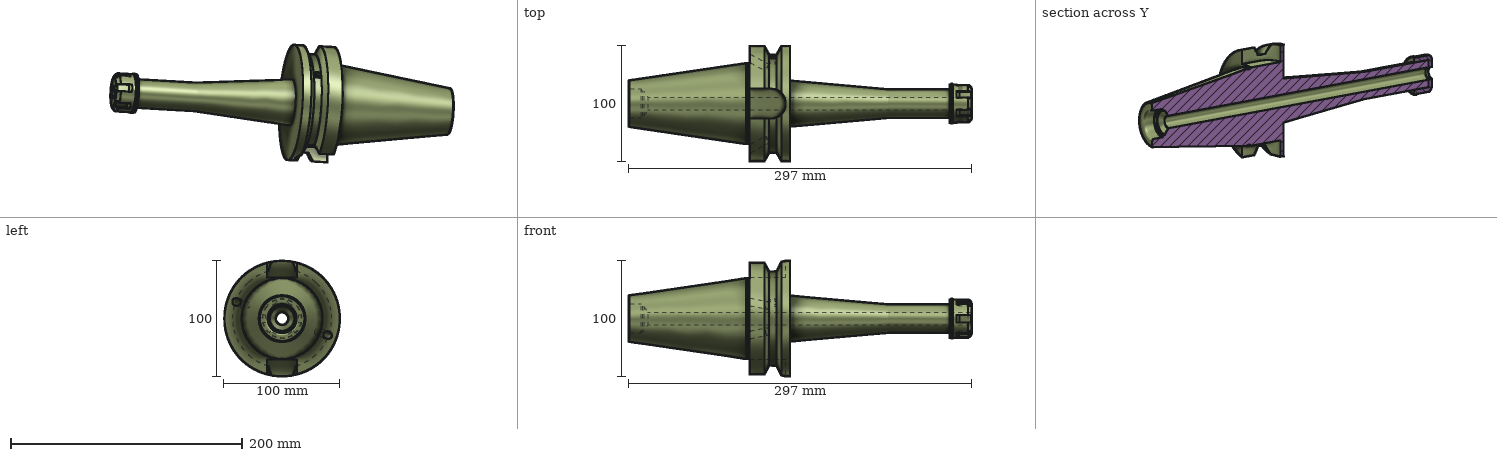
import cadquery as cq
import math

total_length = 297.0
taper_length = 101.5
flange_start = 104.8
flange_length = 35.0
flange_end = flange_start + flange_length
collar_length = 1.5
collar_end = flange_end + collar_length
cone_end = 224.8
nut_start = 277.7

taper_ratio = 7 / 24
taper_large_radius = 35.0
taper_small_radius = taper_large_radius - taper_length * taper_ratio / 2
taper_edge_chamfer = 1.0
relief_radius = 34.2
relief_length = 2.0
neck_radius = 35.0

flange_diameter = 100.0
flange_radius = flange_diameter / 2
groove_floor_radius = 42.8
groove_floor_width = 6.5
groove_center = 125.0
groove_flank_angle = 30.0
keyway_width = 25.8
keyway_floor = 35.3
keyway_end = 136.0
coolant_hole_radius = 3.3
coolant_hole_reach = 42.0
coolant_hole_angle = 20.0
coolant_hole_tilt = 30.0
coolant_hole_depth = 17.8
index_hole_radius = 3.0
index_hole_depth = 5.3

collar_radius = 20.0
stem_radius = 12.5

mouth_fillet = 2.5
counterbore_radius = 12.5
counterbore_depth = 11.0
thread_radius = 10.7
thread_start = 12.2
thread_end = 13.5
through_radius = 5.3
drill_half_angle = 55.0

nut_radius = 16.5
nut_ring_radius = 17.2
nut_ring_start = 279.0
nut_ring_width = 1.8
nut_front_radius = 12.8
nut_nose_start = 293.7
nut_nose_bulge = 0.5
nut_slot_count = 6
nut_slot_width = 6.5
nut_slot_start = 283.5
nut_slot_ramp = 2.7
nut_slot_floor = 14.3


def revolve_about_x(profile):
    """Revolve a closed outline drawn in (x, radius) about the X axis."""
    return profile.close().revolve(360, (0, 0, 0), (1, 0, 0))


def holder_blank():
    flank_rise = flange_radius - groove_floor_radius
    flank_run = flank_rise * math.tan(math.radians(groove_flank_angle))
    floor_start = groove_center - groove_floor_width / 2
    floor_end = groove_center + groove_floor_width / 2
    profile = (
        cq.Workplane("XY")
        .lineTo(0, taper_small_radius - taper_edge_chamfer)
        .lineTo(taper_edge_chamfer, taper_small_radius)
        .lineTo(taper_length, taper_large_radius)
        .lineTo(taper_length, relief_radius)
        .lineTo(taper_length + relief_length, relief_radius)
        .lineTo(taper_length + relief_length, neck_radius)
        .lineTo(flange_start, neck_radius)
        .lineTo(flange_start, flange_radius)
        .lineTo(floor_start - flank_run, flange_radius)
        .lineTo(floor_start, groove_floor_radius)
        .lineTo(floor_end, groove_floor_radius)
        .lineTo(floor_end + flank_run, flange_radius)
        .lineTo(flange_end, flange_radius)
        .lineTo(flange_end, collar_radius)
        .lineTo(collar_end, collar_radius)
        .lineTo(cone_end, stem_radius)
        .lineTo(nut_nose_start, stem_radius)
        .lineTo(nut_nose_start, 0)
    )
    return revolve_about_x(profile)


def holder_bore():
    cone_run = (thread_radius - through_radius) / math.tan(math.radians(drill_half_angle))
    fillet_sag = mouth_fillet * math.sqrt(0.5)
    profile = (
        cq.Workplane("XY")
        .lineTo(0, counterbore_radius + mouth_fillet)
        .threePointArc(
            (mouth_fillet - fillet_sag, counterbore_radius + mouth_fillet - fillet_sag),
            (mouth_fillet, counterbore_radius),
        )
        .lineTo(counterbore_depth, counterbore_radius)
        .lineTo(thread_start, thread_radius)
        .lineTo(thread_end, thread_radius)
        .lineTo(thread_end + cone_run, through_radius)
        .lineTo(total_length, through_radius)
        .lineTo(total_length, 0)
    )
    return revolve_about_x(profile)


def keyway(side):
    """Round-ended drive slot on the +Z (side = 1) or -Z (side = -1) rim."""
    half_width = keyway_width / 2
    arc_start = keyway_end - half_width
    return (
        cq.Workplane("XY", origin=(0, 0, side * keyway_floor))
        .moveTo(taper_length, -half_width)
        .lineTo(arc_start, -half_width)
        .threePointArc((keyway_end, 0), (arc_start, half_width))
        .lineTo(taper_length, half_width)
        .close()
        .extrude(side * flange_radius)
    )


def coolant_hole(turn):
    """Hole from the flange back face, leaning towards the axis."""
    tilt = math.radians(coolant_hole_tilt)
    direction = cq.Vector(math.cos(tilt), -math.sin(tilt), 0)
    entry = cq.Vector(flange_start, coolant_hole_reach, 0)
    overshoot = direction * coolant_hole_radius
    hole = cq.Solid.makeCylinder(
        coolant_hole_radius, coolant_hole_depth + coolant_hole_radius, entry - overshoot, direction
    )
    return hole.rotate(cq.Vector(0, 0, 0), cq.Vector(1, 0, 0), turn)


def index_hole():
    """Radial blind hole in the groove floor, in line with the +Y coolant hole."""
    bottom = groove_floor_radius - index_hole_depth
    hole = cq.Solid.makeCylinder(
        index_hole_radius,
        flange_radius - bottom,
        cq.Vector(groove_center, bottom, 0),
        cq.Vector(0, 1, 0),
    )
    return hole.rotate(cq.Vector(0, 0, 0), cq.Vector(1, 0, 0), coolant_hole_angle)


def make_holder():
    body = holder_blank().cut(holder_bore())
    for side in (1, -1):
        body = body.cut(keyway(side))
    for turn in (coolant_hole_angle, coolant_hole_angle + 180):
        body = body.cut(coolant_hole(turn))
    return body.cut(index_hole())


def nut_slot(turn):
    """Wrench slot open at the nut front, with a ramp at its closed end."""
    profile = (
        cq.Workplane("XY")
        .moveTo(nut_slot_start, nut_ring_radius)
        .lineTo(nut_slot_start, nut_radius)
        .lineTo(nut_slot_start + nut_slot_ramp, nut_slot_floor)
        .lineTo(total_length, nut_slot_floor)
        .lineTo(total_length, nut_ring_radius)
        .close()
        .extrude(nut_slot_width / 2, both=True)
    )
    return profile.rotate((0, 0, 0), (1, 0, 0), turn)


def make_nut():
    ring_end = nut_ring_start + nut_ring_width
    profile = (
        cq.Workplane("XY")
        .moveTo(nut_start, stem_radius)
        .lineTo(nut_start, nut_radius)
        .lineTo(nut_ring_start, nut_radius)
        .threePointArc((nut_ring_start + nut_ring_width / 2, nut_ring_radius), (ring_end, nut_radius))
        .lineTo(nut_nose_start, nut_radius)
        .sagittaArc((total_length, nut_front_radius), nut_nose_bulge)
        .lineTo(total_length, through_radius)
        .lineTo(nut_nose_start, through_radius)
        .lineTo(nut_nose_start, stem_radius)
    )
    body = revolve_about_x(profile)
    for index in range(nut_slot_count):
        body = body.cut(nut_slot(index * 360 / nut_slot_count))
    return body


holder = make_holder()
nut = make_nut()
result = cq.Compound.makeCompound([holder.val(), nut.val()])